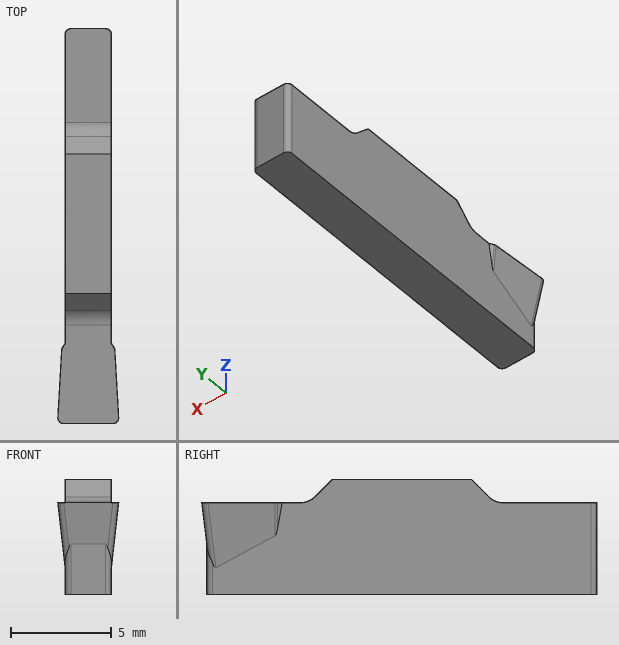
import math

import cadquery as cq

OVERALL_LENGTH = 19.75
OVERALL_HEIGHT = 5.76
SEAT_HEIGHT = 4.6
BODY_WIDTH = 2.32
CORNER_RADIUS = 0.3

CREST_LENGTH = 6.97
RAMP_ANGLE = 45.0
RAMP_FOOT_RADIUS = 1.0

HEAD_WIDTH = 3.05
FRONT_SETBACK = 0.255
FRONT_RELIEF = 7.0
SIDE_RELIEF = 6.0
SIDE_TAPER = 3.25
HEAD_FLANK_LENGTH = 3.73
SHOULDER_ANGLE = 30.0
SHOULDER_RADIUS = 0.25
HEAD_DEPTH = 4.0


def tan_deg(angle):
    return math.tan(math.radians(angle))


def make_body():
    """Straight bar with a ramped block on top, centred along the bar."""
    front = FRONT_SETBACK
    rear = OVERALL_LENGTH
    middle = (front + rear) / 2
    ramp_angle = math.radians(RAMP_ANGLE)

    foot_rise = RAMP_FOOT_RADIUS * (1 - math.cos(ramp_angle))
    foot_run = RAMP_FOOT_RADIUS * math.sin(ramp_angle)
    mid_rise = RAMP_FOOT_RADIUS * (1 - math.cos(ramp_angle / 2))
    mid_run = RAMP_FOOT_RADIUS * math.sin(ramp_angle / 2)

    crest = CREST_LENGTH / 2
    ramp_bottom_z = SEAT_HEIGHT + foot_rise
    ramp_bottom = crest + (OVERALL_HEIGHT - ramp_bottom_z) / math.tan(ramp_angle)
    foot = ramp_bottom + foot_run
    foot_mid = foot - mid_run
    foot_mid_z = SEAT_HEIGHT + mid_rise

    profile = (
        cq.Workplane("YZ")
        .moveTo(front, 0)
        .lineTo(front, SEAT_HEIGHT)
        .lineTo(middle - foot, SEAT_HEIGHT)
        .threePointArc((middle - foot_mid, foot_mid_z), (middle - ramp_bottom, ramp_bottom_z))
        .lineTo(middle - crest, OVERALL_HEIGHT)
        .lineTo(middle + crest, OVERALL_HEIGHT)
        .lineTo(middle + ramp_bottom, ramp_bottom_z)
        .threePointArc((middle + foot_mid, foot_mid_z), (middle + foot, SEAT_HEIGHT))
        .lineTo(rear, SEAT_HEIGHT)
        .lineTo(rear, 0)
        .close()
    )
    bar = profile.extrude(BODY_WIDTH / 2, both=True)
    return bar.edges("|Z").fillet(CORNER_RADIUS)


def make_head_half():
    """+X half of the head: its top outline swept down and inward at the side relief angle."""
    taper = math.radians(SIDE_TAPER)
    sharp_corner = HEAD_WIDTH / 2 + CORNER_RADIUS * (1 / math.cos(taper) - 1 + math.tan(taper))
    shoulder = sharp_corner - HEAD_FLANK_LENGTH * math.tan(taper)
    shoulder_end = HEAD_FLANK_LENGTH + shoulder / tan_deg(SHOULDER_ANGLE)

    outline = cq.Wire.makePolygon(
        [
            cq.Vector(0, 0, SEAT_HEIGHT),
            cq.Vector(sharp_corner, 0, SEAT_HEIGHT),
            cq.Vector(shoulder, HEAD_FLANK_LENGTH, SEAT_HEIGHT),
            cq.Vector(0, shoulder_end, SEAT_HEIGHT),
        ],
        close=True,
    )
    sweep = cq.Vector(-HEAD_DEPTH * tan_deg(SIDE_RELIEF), 0, -HEAD_DEPTH)
    half = cq.Workplane(cq.Solid.extrudeLinear(outline, [], sweep))
    shoulder_point = (shoulder + sweep.x / 2, HEAD_FLANK_LENGTH, SEAT_HEIGHT + sweep.z / 2)
    return half.edges(cq.selectors.NearestToPointSelector(shoulder_point)).fillet(SHOULDER_RADIUS)


def make_front_relief():
    """Wedge ahead of the leaning front face of the head."""
    setback = HEAD_DEPTH * tan_deg(FRONT_RELIEF)
    bottom = SEAT_HEIGHT - HEAD_DEPTH
    wedge = cq.Workplane("YZ").polyline([(0, SEAT_HEIGHT), (setback, bottom), (0, bottom)]).close()
    return wedge.extrude(HEAD_WIDTH, both=True)


def make_head():
    half = make_head_half()
    head = half.union(half.mirror("YZ")).cut(make_front_relief())
    front_corners = head.faces("<Y").edges("not #Z").edges("<X or >X")
    return front_corners.fillet(CORNER_RADIUS)


result = make_body().union(make_head())